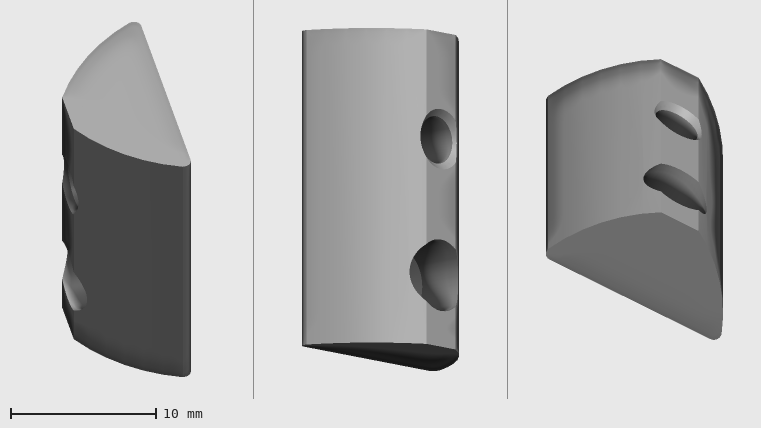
import cadquery as cq
import math

length = 22.0
width = 13.7
depth = 7.0
front_flat_width = 3.0
flank_radius = 13.2
corner_radius = 0.5
edge_depth = 0.68

through_diameter = 3.3
through_height = 14.52
countersink_diameter = 4.2
countersink_angle = 90.0

blind_diameter = 5.0
blind_height = 5.0
blind_wall_depth = 4.0
drill_point_angle = 140.0

front_y = -depth / 2
back_y = depth / 2


def cone_depth(large_radius, small_radius, full_angle):
    """Axial length of a cone that narrows between two radii."""
    return (large_radius - small_radius) / math.tan(math.radians(full_angle / 2))


def make_body():
    half_width = width / 2
    half_flat = front_flat_width / 2
    flank_start_y = back_y - edge_depth
    bar = (
        cq.Workplane("XY")
        .moveTo(-half_flat, front_y)
        .lineTo(half_flat, front_y)
        .radiusArc((half_width, flank_start_y), -flank_radius)
        .lineTo(half_width, back_y)
        .lineTo(-half_width, back_y)
        .lineTo(-half_width, flank_start_y)
        .radiusArc((-half_flat, front_y), -flank_radius)
        .close()
        .extrude(length)
    )
    return bar.edges("|Z and >Y").fillet(corner_radius)


def revolved_cutter(height, outline):
    """Turn (radius, depth from front) points about a Y-parallel axis at the given height."""
    points = [(radius, front_y + distance) for radius, distance in outline]
    return (
        cq.Workplane("XY", origin=(0, 0, height))
        .polyline(points)
        .close()
        .revolve(360, (0, 0, 0), (0, 1, 0))
    )


def make_through_hole():
    radius = through_diameter / 2
    sink_radius = countersink_diameter / 2
    sink_depth = cone_depth(sink_radius, radius, countersink_angle)
    outline = [(0, 0), (sink_radius, 0), (radius, sink_depth), (radius, depth), (0, depth)]
    return revolved_cutter(through_height, outline)


def make_blind_hole():
    radius = blind_diameter / 2
    tip_depth = blind_wall_depth + cone_depth(radius, 0, drill_point_angle)
    outline = [(0, 0), (radius, 0), (radius, blind_wall_depth), (0, tip_depth)]
    return revolved_cutter(blind_height, outline)


result = make_body().cut(make_through_hole()).cut(make_blind_hole())